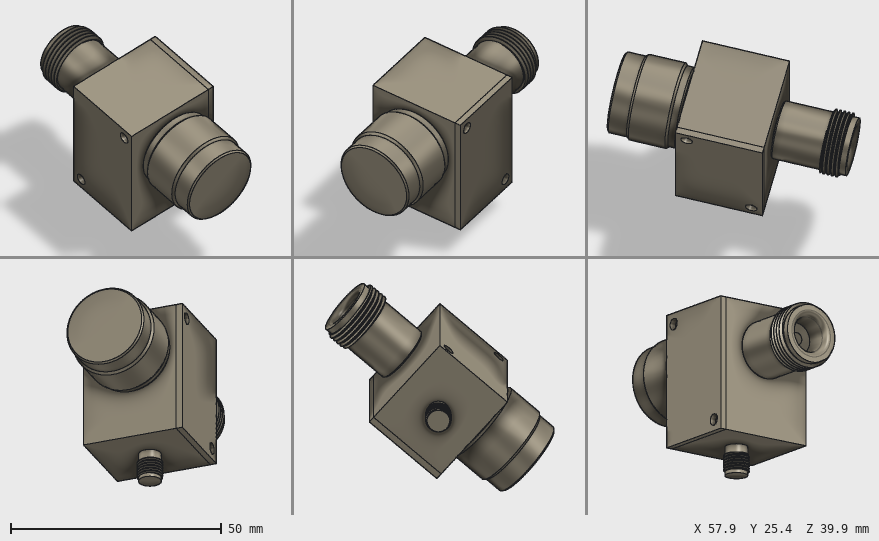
import cadquery as cq


box_width = 21.4
box_depth = 25.4
box_height = 32.8
cover_thickness = 1.55
axis_below_top = 11.45
mount_hole_radius = 1.4
mount_hole_inset = 2.8
box_half_width = box_width / 2
box_top = axis_below_top
box_bottom = box_top - box_height
box_front = -box_depth / 2
cover_front = box_depth / 2 - cover_thickness

neck_radius = 3.5
neck_length = 0.5

female_length = 18.9
female_radius = 7.05
female_rear_chamfer = 0.35
bore_radius = 4.35
floor_radius = 3.9
bore_depth = 5.75
bore_lip_round = 1.4
contact_radius = 1.5
female_thread_crest = 7.9
female_thread_pitch = 1.05
female_thread_start = 1.5
female_thread_length = 4.75
female_end = -box_half_width - female_length

male_length = 17.6
male_radius = 9.9
male_chamfer = 0.4
grip_radius = 10.5
grip_start = 2.6
grip_end = 12.75
grip_chamfer = grip_radius - male_radius

small_length = 7.1
small_radius = 2.7
small_thread_crest = 3.05
small_thread_pitch = 0.7
small_thread_start = 0.9
small_thread_length = 4.1
small_end = box_bottom - small_length

thread_base_share = 0.85
thread_crest_share = 0.15
thread_lead_in = 0.5
thread_sink_share = 0.05

core_turn = 100
trim_turn = 50


def mount_holes():
    """Two through holes along Y, at opposite corners of the housing."""
    hole_x = box_half_width - mount_hole_inset
    holes = [
        (hole_x, box_top - mount_hole_inset),
        (-hole_x, box_bottom + mount_hole_inset),
    ]
    return (
        cq.Workplane("XZ", origin=(0, box_depth / 2, 0))
        .pushPoints(holes)
        .circle(mount_hole_radius)
        .extrude(box_depth)
    )


def make_slab(front_y, thickness):
    """Block with the outline of the housing, reaching back from front_y."""
    slab = cq.Workplane("XY").box(box_width, thickness, box_height, centered=(True, False, False))
    return slab.translate((0, front_y, box_bottom)).cut(mount_holes())


def make_thread(root_radius, crest_radius, pitch, length):
    """Right-hand thread ridge around Z, trimmed square at z = 0 and z = length."""
    half_base = thread_base_share * pitch / 2
    half_crest = thread_crest_share * pitch / 2
    sink = thread_sink_share * pitch
    flank_slope = (half_base - half_crest) / (crest_radius - root_radius)
    sunk_radius = root_radius - sink
    sunk_half_base = half_base + sink * flank_slope

    lead_in = thread_lead_in * pitch
    helix = cq.Wire.makeHelix(pitch, length + lead_in + pitch, root_radius)
    ridge = (
        cq.Workplane("XZ")
        .moveTo(sunk_radius, -sunk_half_base)
        .lineTo(crest_radius, -half_crest)
        .lineTo(crest_radius, half_crest)
        .lineTo(sunk_radius, sunk_half_base)
        .close()
        .sweep(cq.Workplane(helix), isFrenet=True)
        .translate((0, 0, -lead_in))
    )
    core = cq.Workplane("XY", origin=(0, 0, -length)).circle(root_radius).extrude(3 * length)
    core = core.rotate((0, 0, 0), (0, 0, 1), core_turn)
    trim = cq.Workplane("XY").circle(crest_radius + pitch).extrude(length)
    trim = trim.rotate((0, 0, 0), (0, 0, 1), trim_turn)
    return ridge.cut(core).intersect(trim)


def make_female_shell():
    """Turned shell with a round-lipped tapered bore at its -X end and a neck against the housing."""
    rear = -box_half_width - neck_length
    floor = female_end + bore_depth
    shell = (
        cq.Workplane("XZ")
        .moveTo(-box_half_width, contact_radius)
        .lineTo(-box_half_width, neck_radius)
        .lineTo(rear, neck_radius)
        .lineTo(rear, female_radius - female_rear_chamfer)
        .lineTo(rear - female_rear_chamfer, female_radius)
        .lineTo(female_end, female_radius)
        .lineTo(female_end, bore_radius + bore_lip_round)
        .radiusArc((female_end + bore_lip_round, bore_radius), -bore_lip_round)
        .lineTo(floor, floor_radius)
        .lineTo(floor, contact_radius)
        .close()
    )
    return shell.revolve(360, (0, 0, 0), (1, 0, 0))


def make_contact():
    """Centre contact, flush with the floor of the female bore."""
    length = female_length - bore_depth
    return cq.Workplane("YZ", origin=(-box_half_width - length, 0, 0)).circle(contact_radius).extrude(length)


def make_female_thread():
    thread = make_thread(female_radius, female_thread_crest, female_thread_pitch, female_thread_length)
    along_x = thread.rotate((0, 0, 0), (0, 1, 0), 90)
    return along_x.translate((female_end + female_thread_start, 0, 0))


def make_male_coupling():
    """Turned coupling with a wider grip band and a neck against the housing."""
    outline = [
        (0, 0),
        (0, neck_radius),
        (neck_length, neck_radius),
        (neck_length, male_radius - male_chamfer),
        (neck_length + male_chamfer, male_radius),
        (grip_start, male_radius),
        (grip_start + grip_chamfer, grip_radius),
        (grip_end - grip_chamfer, grip_radius),
        (grip_end, male_radius),
        (male_length - male_chamfer, male_radius),
        (male_length, male_radius - male_chamfer),
        (male_length, 0),
    ]
    coupling = cq.Workplane("XZ").polyline(outline).close().revolve(360, (0, 0, 0), (1, 0, 0))
    return coupling.translate((box_half_width, 0, 0))


def make_small_connector():
    return cq.Workplane("XY", origin=(0, 0, small_end)).circle(small_radius).extrude(small_length)


def make_small_thread():
    thread = make_thread(small_radius, small_thread_crest, small_thread_pitch, small_thread_length)
    return thread.translate((0, 0, small_end + small_thread_start))


housing = make_slab(box_front, box_depth - cover_thickness)
cover = make_slab(cover_front, cover_thickness)
female_shell = make_female_shell()
female_contact = make_contact()
female_thread = make_female_thread()
male_coupling = make_male_coupling()
small_connector = make_small_connector()
small_thread = make_small_thread()

bodies = [
    housing,
    cover,
    female_shell,
    female_contact,
    female_thread,
    male_coupling,
    small_connector,
    small_thread,
]
result = cq.Compound.makeCompound([body.solids().val() for body in bodies])